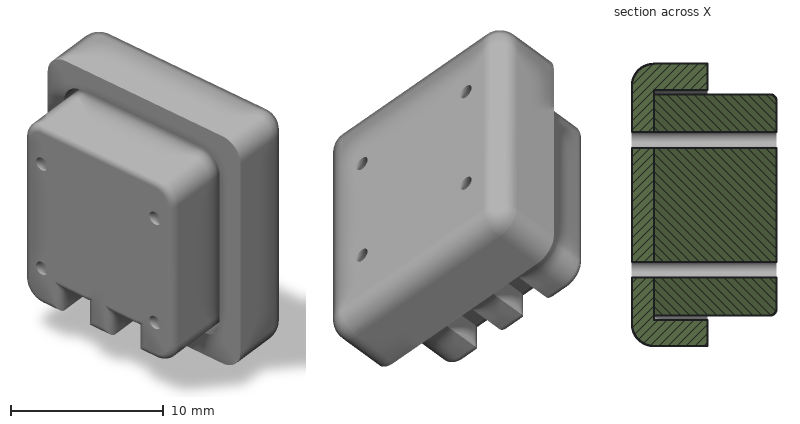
import cadquery as cq


housing_width = 16.15
housing_height = 18.5
housing_depth = 5.0
housing_round = 1.5
floor_thickness = 1.5

plug_width = 12.5
plug_height = 14.5
plug_offset_x = -0.18
plug_protrusion = 4.51
plug_corner_radius = 1.5
plug_edge_radius = 0.5
clearance = 0.25

recess_depth = housing_depth - floor_thickness
recess_width = plug_width + 2 * clearance
recess_height = plug_height + 2 * clearance
recess_corner_radius = 1.5

notch_width = 2.25
notch_depth = 1.98
notch_spacing = 4.24

hole_diameter = 1.0
hole_spacing_x = 9.49
hole_spacing_z = 8.5


def rounded_block(width, height, corner_radius, center_x, front_y, back_y):
    """Block along Y whose four long edges are rounded."""
    block = cq.Workplane("XY").box(width, back_y - front_y, height)
    block = block.edges("|Y").fillet(corner_radius)
    return block.translate((center_x, (front_y + back_y) / 2, 0))


def screw_holes():
    """Four cylinders along Y, long enough to cross both bodies."""
    return (
        cq.Workplane("XZ", origin=(plug_offset_x, housing_depth, 0))
        .rarray(hole_spacing_x, hole_spacing_z, 2, 2)
        .circle(hole_diameter / 2)
        .extrude(housing_depth + plug_protrusion)
    )


def notches():
    """Two slots along the whole plug, open at its bottom."""
    length = plug_protrusion + recess_depth
    return (
        cq.Workplane("XZ", origin=(plug_offset_x, recess_depth, -plug_height / 2))
        .rarray(notch_spacing, 0.18, 2, 1)
        .rect(notch_width, 2 * notch_depth)
        .extrude(length)
    )


def make_housing():
    shell = rounded_block(housing_width, housing_height, housing_round, 0, 0, housing_depth)
    shell = shell.faces(">Y").edges().fillet(housing_round)
    recess = rounded_block(
        recess_width, recess_height, recess_corner_radius, plug_offset_x, 0, recess_depth
    )
    return shell.cut(recess).cut(screw_holes())


def make_plug():
    body = rounded_block(
        plug_width, plug_height, plug_corner_radius, plug_offset_x, -plug_protrusion, recess_depth
    )
    body = body.cut(notches())
    body = body.faces("<Y").edges().fillet(plug_edge_radius)
    return body.cut(screw_holes())


housing = make_housing()
plug = make_plug()

result = cq.Compound.makeCompound([housing.solids().val(), plug.solids().val()])